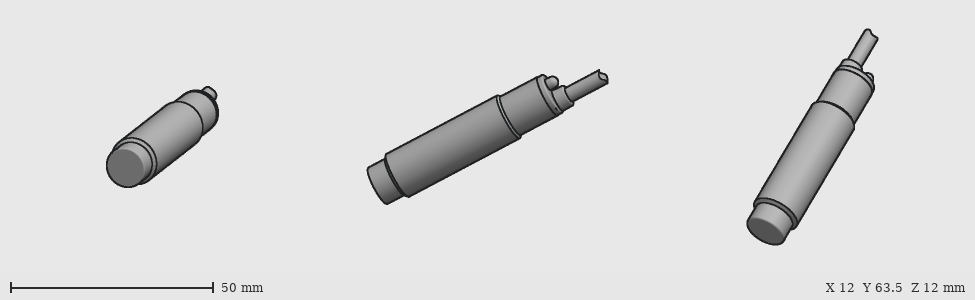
import cadquery as cq

total_length = 63.5
body_diameter = 12.0
nose_diameter = 10.2
rear_diameter = 10.8
cap_diameter = 10.6

nose_length = 5.1
nose_fillet = 0.45
front_shoulder_end = 5.85
rear_shoulder_start = 37.4
rear_shoulder_end = rear_shoulder_start + (body_diameter - rear_diameter) / 2
rear_end = 48.5
cap_end = 50.05
cap_fillet = 0.4

cable_x = -2.3
cable_diameter = 3.9
collar_base_diameter = 5.8
collar_tip_diameter = 5.5
collar_end = 53.15
collar_fillet = 0.4

lamp_x = 2.6
lamp_diameter = 3.0
lamp_dome_start = 51.4

break_crest = 0.45
break_dip = 0.6


def revolve_about_y(profile, x=0.0):
    """Turn a closed radius/y profile about a line parallel to Y."""
    return profile.close().revolve(360, (0, 0, 0), (0, 1, 0)).translate((x, 0, 0))


def make_body():
    body_radius = body_diameter / 2
    nose_radius = nose_diameter / 2
    rear_radius = rear_diameter / 2
    cap_radius = cap_diameter / 2
    profile = cq.Workplane("XY").polyline([
        (0, 0),
        (nose_radius, 0),
        (nose_radius, nose_length),
        (body_radius, front_shoulder_end),
        (body_radius, rear_shoulder_start),
        (rear_radius, rear_shoulder_end),
        (rear_radius, rear_end),
        (cap_radius, rear_end),
        (cap_radius, cap_end),
        (0, cap_end),
    ])
    body = revolve_about_y(profile)
    body = body.faces("<Y").edges().fillet(nose_fillet)
    return body.faces(">Y").edges().fillet(cap_fillet)


def make_collar():
    base_y = cap_end - cap_fillet
    tip_radius = collar_tip_diameter / 2
    profile = cq.Workplane("XY").polyline([
        (0, base_y),
        (collar_base_diameter / 2, base_y),
        (tip_radius, collar_end),
        (0, collar_end),
    ])
    collar = revolve_about_y(profile, cable_x)
    return collar.faces(">Y").edges().fillet(collar_fillet)


def make_cable():
    radius = cable_diameter / 2
    edge_y = total_length - break_crest
    outline = (
        cq.Workplane("XY", origin=(cable_x, 0, -radius))
        .moveTo(-radius, cap_end)
        .lineTo(-radius, edge_y)
        .threePointArc((-radius / 2, total_length), (0, edge_y))
        .threePointArc((radius / 2, edge_y - break_dip), (radius, edge_y))
        .lineTo(radius, cap_end)
        .close()
        .extrude(cable_diameter)
    )
    rod = revolve_about_y(cq.Workplane("XY").polyline([
        (0, cap_end),
        (radius, cap_end),
        (radius, total_length),
        (0, total_length),
    ]), cable_x)
    return rod.intersect(outline)


def make_lamp():
    radius = lamp_diameter / 2
    base_y = cap_end - cap_fillet
    diagonal = radius * 0.5 ** 0.5
    profile = (
        cq.Workplane("XY")
        .moveTo(0, base_y)
        .lineTo(radius, base_y)
        .lineTo(radius, lamp_dome_start)
        .threePointArc((diagonal, lamp_dome_start + diagonal), (0, lamp_dome_start + radius))
    )
    return revolve_about_y(profile, lamp_x)


result = make_body().union(make_collar()).union(make_cable()).union(make_lamp())